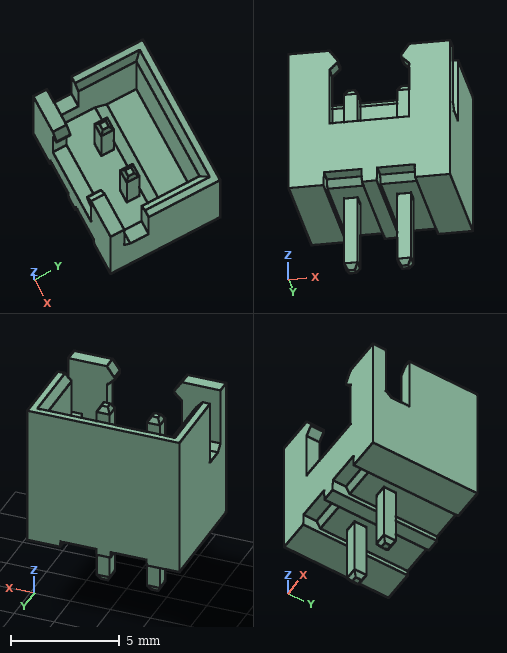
import cadquery as cq

WIDTH = 7.6
DEPTH = 5.75
HEIGHT = 7.01
TOTAL_HEIGHT = 10.4

SIDE_WALL = 0.7
END_WALL = 0.72
FRONT_FLOOR = 2.0
BACK_FLOOR = 1.44
SLOPE_START = 2.87
SLOPE_END = 3.48
RIM_LAND = 0.36
RIM_BEVEL_HEIGHT = 0.36

SLOT_BACK = 2.0
SLOT_DEPTH = 3.18
SLOT_CHAMFER = 0.31

WINDOW_HALF = 1.87
LIP_HALF = 1.5
LIP_TOP = 0.53
LIP_BOTTOM = 0.65
LIP_END = 1.02
WINDOW_DEPTH = 3.81

NOTCH_TOP_WIDTH = 1.76
NOTCH_BOTTOM_WIDTH = 1.81
NOTCH_FRONT_HEIGHT = 0.67
NOTCH_BACK_HEIGHT = 0.29
NOTCH_SLOPE_LENGTH = 0.22

PIN_PITCH = 2.51
PIN_SIZE = 0.65
PIN_Y = 2.36
PIN_TOP_DROP = 1.0
TIP_LENGTH = 0.29
TIP_SIZE = 0.32

PIN_XS = [-PIN_PITCH / 2, PIN_PITCH / 2]
PIN_BOTTOM = HEIGHT - TOTAL_HEIGHT
PIN_LENGTH = TOTAL_HEIGHT - PIN_TOP_DROP
INNER_WIDTH = WIDTH - 2 * SIDE_WALL
CAVITY_BACK = DEPTH - END_WALL


def extrude_across_x(points, width):
    """Extrude a (Y, Z) outline symmetrically about X = 0."""
    return cq.Workplane("YZ").polyline(points).close().extrude(width / 2, both=True)


def make_cavity():
    """Open-topped cavity whose floor slopes down to a lower level at the back."""
    outline = [
        (END_WALL, HEIGHT),
        (END_WALL, FRONT_FLOOR),
        (SLOPE_START, FRONT_FLOOR),
        (SLOPE_END, BACK_FLOOR),
        (CAVITY_BACK, BACK_FLOOR),
        (CAVITY_BACK, HEIGHT),
    ]
    return extrude_across_x(outline, INNER_WIDTH)


def make_rim_bevel():
    """Lead-in bevel around the sides and back of the cavity mouth."""
    bevel_back = DEPTH - RIM_LAND
    cavity_length = CAVITY_BACK - END_WALL
    bevel_length = bevel_back - END_WALL
    return (
        cq.Workplane("XY", origin=(0, 0, HEIGHT - RIM_BEVEL_HEIGHT))
        .center(0, END_WALL + cavity_length / 2)
        .rect(INNER_WIDTH, cavity_length)
        .workplane(offset=RIM_BEVEL_HEIGHT)
        .center(0, (bevel_length - cavity_length) / 2)
        .rect(WIDTH - 2 * RIM_LAND, bevel_length)
        .loft(ruled=True)
    )


def make_side_slots():
    """Slot through both side walls, just behind the front wall."""
    slot_bottom = HEIGHT - SLOT_DEPTH
    outline = [
        (END_WALL, HEIGHT),
        (END_WALL, slot_bottom + SLOT_CHAMFER),
        (END_WALL + SLOT_CHAMFER, slot_bottom),
        (SLOT_BACK, slot_bottom),
        (SLOT_BACK, HEIGHT),
    ]
    return extrude_across_x(outline, WIDTH)


def make_window():
    """Front wall opening, narrowed by a lip near the top of each side."""
    right_side = [
        (WINDOW_HALF, HEIGHT),
        (LIP_HALF, HEIGHT - LIP_TOP),
        (LIP_HALF, HEIGHT - LIP_BOTTOM),
        (WINDOW_HALF, HEIGHT - LIP_END),
        (WINDOW_HALF, HEIGHT - WINDOW_DEPTH),
    ]
    left_side = [(-x, z) for x, z in reversed(right_side)]
    return cq.Workplane("XZ").polyline(right_side + left_side).close().extrude(-END_WALL)


def make_notch(x):
    """Tapered channel along Y, its roof falling steeply behind the front wall."""
    top = NOTCH_TOP_WIDTH / 2
    bottom = NOTCH_BOTTOM_WIDTH / 2
    channel = (
        cq.Workplane("XZ")
        .polyline([(-bottom, 0), (-top, NOTCH_FRONT_HEIGHT), (top, NOTCH_FRONT_HEIGHT), (bottom, 0)])
        .close()
        .extrude(-DEPTH)
    )
    roof_limit = extrude_across_x(
        [
            (0, 0),
            (0, NOTCH_FRONT_HEIGHT),
            (END_WALL, NOTCH_FRONT_HEIGHT),
            (END_WALL + NOTCH_SLOPE_LENGTH, NOTCH_BACK_HEIGHT),
            (DEPTH, NOTCH_BACK_HEIGHT),
            (DEPTH, 0),
        ],
        NOTCH_BOTTOM_WIDTH,
    )
    return channel.intersect(roof_limit).translate((x, 0, 0))


def make_pin(x):
    """Square pin with a tapered tip at each end."""
    shaft_bottom = PIN_BOTTOM + TIP_LENGTH
    shaft_length = PIN_LENGTH - 2 * TIP_LENGTH
    shaft = (
        cq.Workplane("XY", origin=(x, PIN_Y, shaft_bottom))
        .rect(PIN_SIZE, PIN_SIZE)
        .extrude(shaft_length)
    )
    for base, direction in [(shaft_bottom, -1), (shaft_bottom + shaft_length, 1)]:
        tip = (
            cq.Workplane("XY", origin=(x, PIN_Y, base))
            .rect(PIN_SIZE, PIN_SIZE)
            .workplane(offset=direction * TIP_LENGTH)
            .rect(TIP_SIZE, TIP_SIZE)
            .loft(ruled=True)
        )
        shaft = shaft.union(tip)
    return shaft


def make_housing(pins):
    """Box housing with its openings and a matching hole for each pin."""
    body = cq.Workplane("XY").box(WIDTH, DEPTH, HEIGHT, centered=(True, False, False))
    body = body.cut(make_cavity()).cut(make_rim_bevel())
    body = body.cut(make_side_slots()).cut(make_window())
    for x in PIN_XS:
        body = body.cut(make_notch(x))
    for pin in pins:
        body = body.cut(pin)
    return body


pins = [make_pin(x) for x in PIN_XS]
housing = make_housing(pins)
result = cq.Compound.makeCompound([housing.val(), *[pin.val() for pin in pins]])